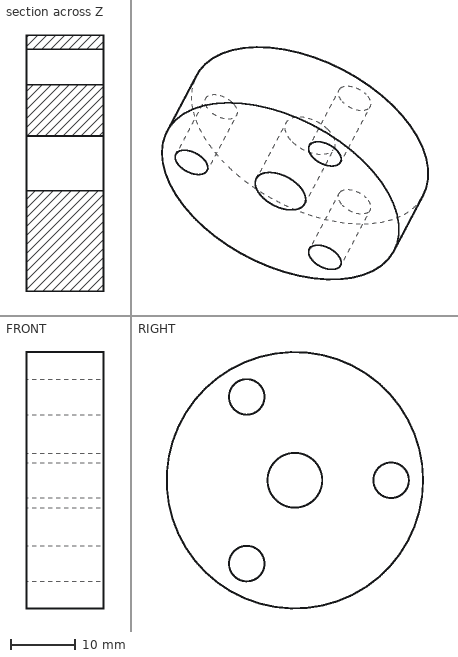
import cadquery as cq

disc_diameter = 40.0
disc_thickness = 12.0

center_bore_diameter = 8.5
bolt_hole_diameter = 5.5
bolt_circle_diameter = 30.0
bolt_hole_count = 3


def make_disc():
    """Plain round disc lying on the YZ plane and extending toward +X."""
    return cq.Workplane("YZ").circle(disc_diameter / 2).extrude(disc_thickness)


def make_center_bore():
    """Cylinder that cuts the bore on the disc axis."""
    return cq.Workplane("YZ").circle(center_bore_diameter / 2).extrude(disc_thickness)


def make_bolt_holes():
    """Cylinders evenly spaced on the bolt circle, the first one on the +Y side."""
    return (
        cq.Workplane("YZ")
        .polarArray(bolt_circle_diameter / 2, 0, 360, bolt_hole_count)
        .circle(bolt_hole_diameter / 2)
        .extrude(disc_thickness)
    )


result = make_disc().cut(make_center_bore()).cut(make_bolt_holes())